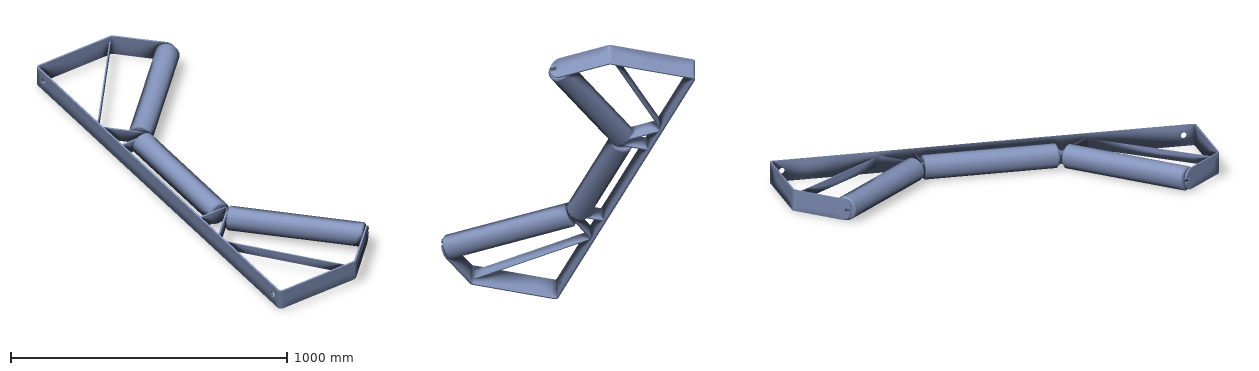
import cadquery as cq
import math

frame_length = 1600.0
strip_width = 80.0
strip_thickness = 6.0
bend_radius = 15.0
arm_bend_radius = 16.0

roller_diameter = 90.0
roller_length = 502.0
spindle_diameter = 13.0
roller_chamfer = 5.0
centre_gap = 2.0
leg_gap = 3.0
arm_gap = 5.0
wing_angle = 45.0

centre_roller_y = 100.0
side_roller_x = 288.0
side_roller_y = 115.0

arm_tip_reach = 30.0
arm_tip_radius = 38.0
slot_reach = 64.0

bracket_width = 50.0
bracket_top_y = 128.0
strut_width = 35.0
strut_thickness = 5.0
strut_foot_x = 400.0
strut_top_y = 322.0

mount_hole_diameter = 22.0
mount_hole_inset = 46.0

half_length = frame_length / 2
cos_wing = math.cos(math.radians(wing_angle))
sin_wing = math.sin(math.radians(wing_angle))
tan_wing = math.tan(math.radians(wing_angle))


def along_wing(axial, across=0.0):
    """Point on the +X side, measured along the side roller's axis from its inner end and across it."""
    return (
        side_roller_x + axial * cos_wing - across * sin_wing,
        side_roller_y + axial * sin_wing + across * cos_wing,
    )


def wing_line_y(axial, x):
    """Y at a given X on the line square to the side roller's axis."""
    base_x, base_y = along_wing(axial)
    return base_y - (x - base_x) / tan_wing


def wing_line_x(axial, y):
    """X at a given Y on the line square to the side roller's axis."""
    base_x, base_y = along_wing(axial)
    return base_x - (y - base_y) * tan_wing


def mirror_points(points):
    """The same path on the -X side, in reverse order."""
    return [(-x, y) for x, y in reversed(points)]


def plate(points, width):
    """Flat outline in XY, extruded to a width centred on Z = 0."""
    return cq.Workplane("XY").polyline(points).close().extrude(width / 2, both=True)


def wing_plane(axial):
    """Plane square to the side roller's axis: local X runs across the axis, local Y runs down Z."""
    x, y = along_wing(axial)
    return cq.Plane(origin=(x, y, 0), xDir=(-sin_wing, cos_wing, 0), normal=(cos_wing, sin_wing, 0))


def open_slot(plane, depth):
    """Round-bottomed spindle slot on the plane's origin, open along local +X, cut for a depth along +normal."""
    slot = cq.Workplane(plane).circle(spindle_diameter / 2).extrude(depth)
    mouth = cq.Workplane(plane).center(slot_reach / 2, 0)
    return slot.union(mouth.rect(slot_reach, spindle_diameter).extrude(depth))


def mirrored(body):
    """The same body on the -X side."""
    return body.mirror("YZ")


def make_frame():
    """One bent strip: rear bar, two uprights and two arms leaning inwards."""
    inner_x = half_length - strip_thickness
    arm_inner = roller_length + arm_gap
    arm_outer = arm_inner + strip_thickness
    outer_side = [
        (half_length, 0),
        (half_length, wing_line_y(arm_outer, half_length)),
        along_wing(arm_outer, arm_tip_reach),
    ]
    inner_side = [
        along_wing(arm_inner, arm_tip_reach),
        (inner_x, wing_line_y(arm_inner, inner_x)),
        (inner_x, strip_thickness),
    ]
    right_side = outer_side + inner_side
    frame = plate(right_side + mirror_points(right_side), strip_width)

    inner_bend = bend_radius - strip_thickness
    inner_arm_bend = arm_bend_radius - strip_thickness
    bends = [
        (outer_side[0], bend_radius),
        (inner_side[2], inner_bend),
        (outer_side[1], arm_bend_radius),
        (inner_side[1], inner_arm_bend),
    ]
    for (x, y), radius in bends:
        for side in (-1, 1):
            corner = cq.selectors.NearestToPointSelector((side * x, y, 0))
            frame = frame.edges("|Z").edges(corner).fillet(radius)

    tip_x, tip_y = along_wing(arm_inner + strip_thickness / 2, arm_tip_reach)
    for side in (-1, 1):
        for face in (-1, 1):
            near_tip = cq.selectors.NearestToPointSelector((side * tip_x, tip_y, face * strip_width / 2))
            frame = frame.edges(near_tip).fillet(arm_tip_radius)

    slot = open_slot(wing_plane(arm_inner), strip_thickness)
    frame = frame.cut(slot).cut(mirrored(slot))

    hole_x = half_length - mount_hole_inset
    holes = (
        cq.Workplane("XZ")
        .pushPoints([(-hole_x, 0), (hole_x, 0)])
        .circle(mount_hole_diameter / 2)
        .extrude(-strip_thickness)
    )
    return frame.cut(holes)


def make_bracket():
    """Bent strip on the +X side: upright for the centre roller, short top, leg for the side roller."""
    upright_inner = roller_length / 2 + centre_gap
    upright_outer = upright_inner + strip_thickness
    leg_outer = -leg_gap
    leg_inner = leg_outer - strip_thickness
    under_top = bracket_top_y - strip_thickness
    outline = [
        (upright_inner, strip_thickness),
        (upright_inner, bracket_top_y),
        (wing_line_x(leg_outer, bracket_top_y), bracket_top_y),
        (wing_line_x(leg_outer, strip_thickness), strip_thickness),
        (wing_line_x(leg_inner, strip_thickness), strip_thickness),
        (wing_line_x(leg_inner, under_top), under_top),
        (upright_outer, under_top),
        (upright_outer, strip_thickness),
    ]
    bracket = plate(outline, bracket_width)
    centre_plane = cq.Plane(origin=(upright_inner, centre_roller_y, 0), xDir=(0, 1, 0), normal=(1, 0, 0))
    bracket = bracket.cut(open_slot(centre_plane, strip_thickness))
    return bracket.cut(open_slot(wing_plane(leg_inner), strip_thickness))


def make_strut():
    """Flat brace on the +X side from the rear bar to the top of the upright."""
    upright_x = half_length - strip_thickness
    slope = (strut_top_y - strip_thickness) / (upright_x - strut_foot_x)
    rise = strut_thickness * math.hypot(1, slope)
    outline = [
        (strut_foot_x, strip_thickness),
        (upright_x, strut_top_y),
        (upright_x, strut_top_y - rise),
        (strut_foot_x + rise / slope, strip_thickness),
    ]
    return plate(outline, strut_width)


def make_roller(start, angle, start_gap, end_gap):
    """Roller whose axis runs from a start point at an angle in XY, its spindle filling both supports."""
    direction = (math.cos(math.radians(angle)), math.sin(math.radians(angle)), 0)
    base = cq.Plane(origin=(*start, 0), xDir=(0, 0, 1), normal=direction)
    barrel = cq.Workplane(base).circle(roller_diameter / 2).extrude(roller_length)
    barrel = barrel.edges().chamfer(roller_chamfer)
    start_overhang = start_gap + strip_thickness
    end_overhang = end_gap + strip_thickness
    spindle = (
        cq.Workplane(base)
        .workplane(offset=-start_overhang)
        .circle(spindle_diameter / 2)
        .extrude(start_overhang + roller_length + end_overhang)
    )
    return barrel.union(spindle)


frame = make_frame()

bracket = make_bracket()
brackets = [bracket, mirrored(bracket)]

strut = make_strut()
struts = [strut, mirrored(strut)]

rollers = [make_roller((-roller_length / 2, centre_roller_y), 0, centre_gap, centre_gap)]
for side, angle in [(1, wing_angle), (-1, 180 - wing_angle)]:
    rollers.append(make_roller((side * side_roller_x, side_roller_y), angle, leg_gap, arm_gap))

bodies = [frame, *brackets, *struts, *rollers]
result = cq.Compound.makeCompound([body.solids().val() for body in bodies])